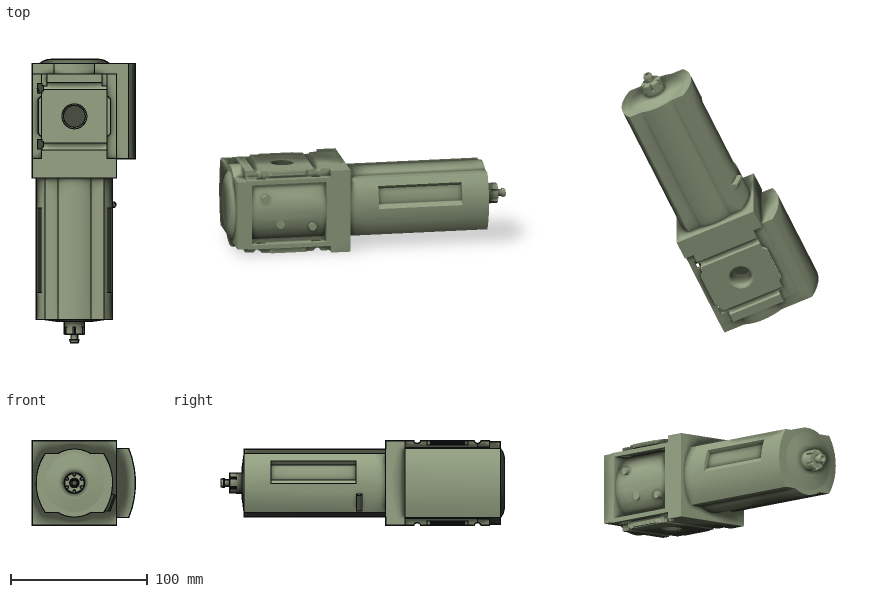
import cadquery as cq
import math


half_width = 31.0
back_face_y = 38.8
back_step_y = 31.0
joint_y = -45.2
back_half_height = 25.4

side_cover_front_y = -31.2
side_cover_edge_x = 39.8
side_cover_crest_x = 44.8

hump_half_width = 14.8
hump_crest_z = 30.4

dome_radius = 25.5
dome_flat_radius = 17.0
dome_height = 3.1
dome_edge_drop = dome_radius - dome_flat_radius
dome_arc_radius = (dome_edge_drop ** 2 + dome_height ** 2) / (2 * dome_height)

pad_half_width = 24.0
rebate_half_length = 31.0
rebate_floor_z = 25.9

groove_offset_y = 22.1
groove_width = 5.1
groove_depth = 1.9

corner_inner_x = 20.2
corner_front_y = 22.1
corner_floor_z = 26.4

lip_reach = 2.6
lip_top_z = 30.7
lip_bottom_z = 27.8
lip_rim = 0.3
lip_groove_count = 20
lip_groove_depth = 0.3
lip_half_length = 15.0

port_diameter = 16.0
port_rim_diameter = 18.2
port_chamfer = 0.8
port_depth = 20.0

window_floor_x = -19.8
window_back_y = 28.1
window_front_y = -27.6
window_half_height = 22.8
window_floor_fillet = 1.8
drum_crest_x = -29.4
drum_edge_x = -20.2
drum_half_height = 20.9
pin_diameter = 5.5
pin_end_x = -30.5
pin_offset_y = 17.5
pin_offset_z = 11.0
stud_diameter = 6.4
stud_end_x = -28.9
stud_y = 6.2
stud_z = -8.6

hook_outer_x = -27.2
hook_step_x = -23.6
hook_inner_x = -22.6
hook_centre_y = 20.5
hook_half_length = 3.5
hook_inner_half_length = 2.0

bowl_end_y = -148.9
bowl_half_width = 28.0
bowl_flat = 21.5
bowl_bump_half_width = 12.15
bowl_bump_z = 24.9
bowl_bulge = bowl_half_width - bowl_flat
bowl_side_radius = (bowl_flat ** 2 + bowl_bulge ** 2) / (2 * bowl_bulge)
bowl_side_centre_x = bowl_half_width - bowl_side_radius

sight_start_y = -67.0
sight_end_y = -129.1
sight_depth = 3.9
sight_ledge_x = 25.9
sight_top_z = 16.0
sight_bottom_z = -0.5
sight_floor_top_z = 13.3
sight_floor_bottom_z = 2.3

latch_start_y = -62.7
latch_end_y = -66.6
latch_bevel = 1.2
latch_inner_low = (21.0, -20.3)
latch_outer_low = (26.2, -20.3)
latch_outer_high = (30.4, -9.1)
latch_inner_high = (26.8, -7.7)

cap_radius = 21.6
cap_flat_radius = 11.7
cap_end_y = -150.3
drain_diameter = 15.0
drain_end_y = -159.7
drain_chamfer = 0.5
slot_count = 6
slot_width = 1.9
slot_length = 5.3
slot_shoulder_radius = 5.6
slot_tip_radius = 4.8
stem_diameter = 5.0
collar_diameter = 6.9
collar_start_y = -163.3
collar_edge_y = -163.9
tip_diameter = 5.5
tip_y = -165.9
drain_hole_diameter = 3.8


def box(x0, x1, y0, y1, z0, z1):
    """Box between two opposite corners."""
    return cq.Workplane("XY").box(x1 - x0, y1 - y0, z1 - z0, centered=False).translate((x0, y0, z0))


def profile(y):
    """Workplane across the part at y: local x is X, local y is Z, extrudes toward -Y."""
    return cq.Workplane("XZ", origin=(0, y, 0))


def both_faces(shape):
    """The shape at +Z with its copy at -Z."""
    return shape.union(shape.mirror("XY"))


def both_sides(shape):
    """The shape with its mirror copy across X = 0."""
    return shape.union(shape.mirror("YZ"))


def housing_blank():
    front = box(-half_width, half_width, joint_y, back_step_y, -half_width, half_width)
    back = box(-half_width, half_width, back_step_y, back_face_y, -back_half_height, back_half_height)
    return front.union(back)


def side_cover():
    return (
        profile(back_face_y)
        .moveTo(0, -back_half_height)
        .lineTo(side_cover_edge_x, -back_half_height)
        .threePointArc((side_cover_crest_x, 0), (side_cover_edge_x, back_half_height))
        .lineTo(0, back_half_height)
        .close()
        .extrude(back_face_y - side_cover_front_y)
    )


def back_hump():
    return (
        profile(back_face_y)
        .moveTo(-hump_half_width, back_half_height)
        .threePointArc((0, hump_crest_z), (hump_half_width, back_half_height))
        .close()
        .extrude(back_face_y - back_step_y)
    )


def back_dome():
    half_angle = math.asin(dome_edge_drop / dome_arc_radius) / 2
    top_y = back_face_y + dome_height
    arc_middle = (
        dome_flat_radius + dome_arc_radius * math.sin(half_angle),
        top_y - dome_arc_radius * (1 - math.cos(half_angle)),
    )
    return (
        cq.Workplane("XY")
        .moveTo(0, back_face_y)
        .lineTo(dome_radius, back_face_y)
        .threePointArc(arc_middle, (dome_flat_radius, top_y))
        .lineTo(0, top_y)
        .close()
        .revolve(360, (0, 0), (0, 1))
    )


def side_rebate():
    return box(
        -half_width, -pad_half_width, -rebate_half_length, rebate_half_length, rebate_floor_z, half_width
    )


def corner_pocket():
    return box(-pad_half_width, -corner_inner_x, corner_front_y, back_step_y, corner_floor_z, half_width)


def pad_groove(y):
    """Round-bottomed groove along X."""
    return (
        cq.Workplane("YZ", origin=(-pad_half_width, y, half_width))
        .moveTo(-groove_width / 2, 0)
        .threePointArc((0, -groove_depth), (groove_width / 2, 0))
        .close()
        .extrude(2 * pad_half_width)
    )


def pad_lip():
    """Gripping lip with 45 degree ends and fine upright ribs under a thin rim."""
    outer_x = -pad_half_width - lip_reach
    short_half_length = lip_half_length - lip_reach
    lip = (
        cq.Workplane("XY", origin=(0, 0, lip_bottom_z))
        .polyline([
            (-pad_half_width, -lip_half_length),
            (-pad_half_width, lip_half_length),
            (outer_x, short_half_length),
            (outer_x, -short_half_length),
        ])
        .close()
        .extrude(lip_top_z - lip_bottom_z)
    )
    rib_pitch = 2 * short_half_length / lip_groove_count
    for index in range(lip_groove_count):
        y = (index + 0.5) * rib_pitch - short_half_length
        lip = lip.cut(box(
            outer_x, outer_x + lip_groove_depth,
            y - rib_pitch / 4, y + rib_pitch / 4,
            lip_bottom_z, lip_top_z - lip_rim,
        ))
    return lip


def port():
    hole = cq.Workplane("XY", origin=(0, 0, half_width)).circle(port_diameter / 2).extrude(-port_depth)
    rim = (
        cq.Workplane("XY", origin=(0, 0, half_width))
        .circle(port_rim_diameter / 2)
        .workplane(offset=-port_chamfer)
        .circle(port_diameter / 2)
        .loft()
    )
    return hole.union(rim)


def hook_opening(y):
    """Stepped opening from the rebate down into the window."""
    return (
        cq.Workplane("XY", origin=(0, 0, window_half_height))
        .polyline([
            (hook_outer_x, y - hook_half_length),
            (hook_step_x, y - hook_half_length),
            (hook_step_x, y - hook_inner_half_length),
            (hook_inner_x, y - hook_inner_half_length),
            (hook_inner_x, y + hook_inner_half_length),
            (hook_step_x, y + hook_inner_half_length),
            (hook_step_x, y + hook_half_length),
            (hook_outer_x, y + hook_half_length),
        ])
        .close()
        .extrude(half_width - window_half_height)
    )


def side_window():
    window = box(
        -half_width, window_floor_x, window_front_y, window_back_y, -window_half_height, window_half_height
    )
    return window.edges("|Y and >X").fillet(window_floor_fillet)


def window_drum():
    return (
        profile(window_back_y)
        .moveTo(window_floor_x, -drum_half_height)
        .lineTo(drum_edge_x, -drum_half_height)
        .threePointArc((drum_crest_x, 0), (drum_edge_x, drum_half_height))
        .lineTo(window_floor_x, drum_half_height)
        .close()
        .extrude(window_back_y - window_front_y)
    )


def window_pin(diameter, end_x, y, z):
    return (
        cq.Workplane("YZ", origin=(end_x, y, z)).circle(diameter / 2).extrude(window_floor_x - end_x)
    )


housing = housing_blank().union(side_cover()).union(both_faces(back_hump())).union(back_dome())
housing = housing.cut(both_faces(both_sides(side_rebate())))
housing = housing.cut(both_faces(both_sides(corner_pocket())))
for groove_y in (-groove_offset_y, groove_offset_y):
    housing = housing.cut(both_faces(pad_groove(groove_y)))
housing = housing.union(both_faces(both_sides(pad_lip())))
housing = housing.cut(both_faces(port()))
for hook_y in (-hook_centre_y, hook_centre_y):
    housing = housing.cut(both_faces(hook_opening(hook_y)))
housing = housing.cut(side_window()).union(window_drum())
for end in (-1, 1):
    housing = housing.union(window_pin(pin_diameter, pin_end_x, end * pin_offset_y, end * pin_offset_z))
housing = housing.union(window_pin(stud_diameter, stud_end_x, stud_y, stud_z))


def bowl_shell():
    return (
        profile(joint_y)
        .moveTo(-bowl_flat, bowl_flat)
        .lineTo(-bowl_bump_half_width, bowl_flat)
        .threePointArc((0, bowl_bump_z), (bowl_bump_half_width, bowl_flat))
        .lineTo(bowl_flat, bowl_flat)
        .threePointArc((bowl_half_width, 0), (bowl_flat, -bowl_flat))
        .lineTo(bowl_bump_half_width, -bowl_flat)
        .threePointArc((0, -bowl_bump_z), (-bowl_bump_half_width, -bowl_flat))
        .lineTo(-bowl_flat, -bowl_flat)
        .threePointArc((-bowl_half_width, 0), (-bowl_flat, bowl_flat))
        .close()
        .extrude(joint_y - bowl_end_y)
    )


def bowl_side_x(z, inset=0.0):
    """X of the bowl's +X side at height z, or of a parallel surface further in."""
    return bowl_side_centre_x + math.sqrt((bowl_side_radius - inset) ** 2 - z ** 2)


def sight_panel():
    """Recess with sloping long walls, a ledge below and a floor parallel to the bowl's side."""
    middle_z = (sight_floor_top_z + sight_floor_bottom_z) / 2
    return (
        profile(sight_start_y)
        .moveTo(bowl_side_x(sight_bottom_z), sight_bottom_z)
        .lineTo(sight_ledge_x, sight_floor_bottom_z)
        .lineTo(bowl_side_x(sight_floor_bottom_z, sight_depth), sight_floor_bottom_z)
        .threePointArc(
            (bowl_side_x(middle_z, sight_depth), middle_z),
            (bowl_side_x(sight_floor_top_z, sight_depth), sight_floor_top_z),
        )
        .lineTo(bowl_side_x(sight_top_z), sight_top_z)
        .lineTo(bowl_half_width, sight_top_z)
        .lineTo(bowl_half_width, sight_bottom_z)
        .close()
        .extrude(sight_start_y - sight_end_y)
    )


def latch():
    """Small bevelled release button low on the +X side."""
    button = (
        profile(latch_start_y)
        .polyline([latch_inner_low, latch_outer_low, latch_outer_high, latch_inner_high])
        .close()
        .extrude(latch_start_y - latch_end_y)
    )
    middle_of_outer_face = (
        (latch_outer_low[0] + latch_outer_high[0]) / 2,
        (latch_start_y + latch_end_y) / 2,
        (latch_outer_low[1] + latch_outer_high[1]) / 2,
    )
    outer_face = button.faces(cq.selectors.NearestToPointSelector(middle_of_outer_face))
    return outer_face.edges("not |Y").chamfer(latch_bevel)


def drain():
    """Conical cap, drain socket and stem with its collar, turned about Y."""
    drain_radius = drain_diameter / 2
    return (
        cq.Workplane("XY")
        .polyline([
            (0, bowl_end_y),
            (cap_radius, bowl_end_y),
            (cap_flat_radius, cap_end_y),
            (drain_radius, cap_end_y),
            (drain_radius, drain_end_y + drain_chamfer),
            (drain_radius - drain_chamfer, drain_end_y),
            (stem_diameter / 2, drain_end_y),
            (stem_diameter / 2, collar_start_y),
            (collar_diameter / 2, collar_start_y),
            (collar_diameter / 2, collar_edge_y),
            (tip_diameter / 2, tip_y),
            (drain_hole_diameter / 2, tip_y),
            (drain_hole_diameter / 2, drain_end_y),
            (0, drain_end_y),
        ])
        .close()
        .revolve(360, (0, 0), (0, 1))
    )


def drain_slot(angle):
    """Slot with a pointed bottom in the rim of the drain socket."""
    return (
        profile(drain_end_y + slot_length)
        .polyline([
            (0, slot_tip_radius),
            (slot_width / 2, slot_shoulder_radius),
            (slot_width / 2, drain_diameter),
            (-slot_width / 2, drain_diameter),
            (-slot_width / 2, slot_shoulder_radius),
        ])
        .close()
        .extrude(slot_length)
        .rotate((0, 0, 0), (0, 1, 0), angle)
    )


bowl = bowl_shell().cut(both_sides(sight_panel())).union(latch()).union(drain())
for slot in range(slot_count):
    bowl = bowl.cut(drain_slot(slot * 360 / slot_count))

result = cq.Compound.makeCompound([housing.val(), bowl.val()])